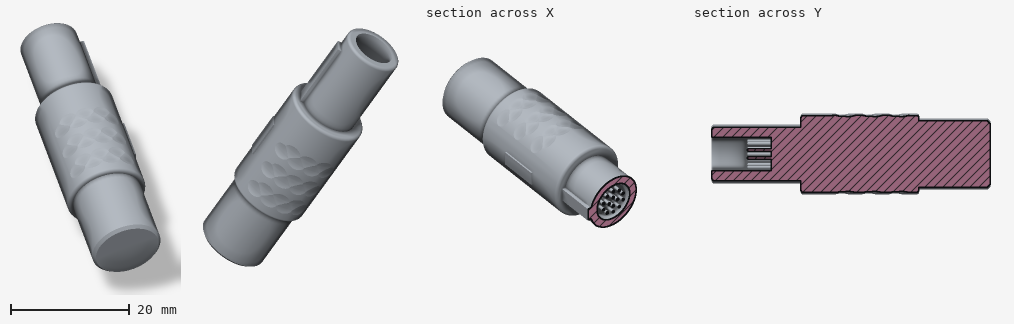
import cadquery as cq
plug_length = 15.0
plug_radius = 5.0
sleeve_length = 20.0
sleeve_radius = 6.85
rear_length = 12.0
rear_radius = 6.0
edge_fillet = 0.5
rear_chamfer = 0.5

bore_radius = 3.5
bore_depth = 10.0
pin_radius = 0.28
pin_length = 4.0
pin_root = 0.5
outer_pin_count = 10
outer_pin_circle_radius = 2.2
inner_pin_count = 4
inner_pin_circle_radius = 0.92

key_start = 2.5
key_width = 2.5
key_root = 4.9
key_top = 5.55

label_length = 7.0
label_width = 2.6
label_top = 7.0
label_thickness = 1.0

dish_radius = 4.0
dish_depth = 0.2
dish_width = 6.0
dish_pitch_angle = 26.5
short_column_count = 3
long_column_count = 4
first_column_x = 22.0
column_spacing = 1.0
band_count = 3
band_pitch = 4.5

sleeve_start = plug_length
sleeve_end = sleeve_start + sleeve_length
sleeve_middle = sleeve_start + sleeve_length / 2


def barrel_section(start, length, radius):
    """Round section on the X axis."""
    return cq.Workplane("YZ").workplane(offset=start).circle(radius).extrude(length)


def barrel():
    """Plug, grip sleeve and rear body with rounded edges and a chamfered rear end."""
    plug = barrel_section(0, plug_length, plug_radius).faces("<X").edges().fillet(edge_fillet)
    sleeve = barrel_section(sleeve_start, sleeve_length, sleeve_radius).edges("%CIRCLE").fillet(edge_fillet)
    rear = barrel_section(sleeve_end, rear_length, rear_radius).faces(">X").edges().chamfer(rear_chamfer)
    return plug.union(sleeve).union(rear)


def guide_key():
    """Rectangular key whose flat root meets the round plug just inside the key's corners."""
    return (
        cq.Workplane("XY")
        .box(plug_length - key_start, key_top - key_root, key_width, centered=(False, False, True))
        .translate((key_start, key_root, 0))
    )


def label_plate():
    """Flat plate standing slightly proud of the sleeve."""
    return (
        cq.Workplane("XY")
        .box(label_length, label_thickness, label_width)
        .translate((sleeve_middle, label_top - label_thickness / 2, 0))
    )


def contact_pin(circle_radius):
    """Round-tipped pin rooted in the bore floor, offset from the axis toward +Z."""
    tip_center = bore_depth - pin_length + pin_radius
    shank = (
        cq.Workplane("YZ")
        .workplane(offset=tip_center)
        .center(0, circle_radius)
        .circle(pin_radius)
        .extrude(bore_depth + pin_root - tip_center)
    )
    tip = cq.Workplane("XY").sphere(pin_radius).translate((tip_center, 0, circle_radius))
    return shank.union(tip)


def add_pin_ring(body, count, circle_radius):
    """Add evenly spaced pins on one circle, the first one at +Z."""
    pin = contact_pin(circle_radius)
    for index in range(count):
        body = body.union(pin.rotate((0, 0, 0), (1, 0, 0), index * 360 / count))
    return body


def dish(x, angle):
    """Cutter for one scallop, turned by the angle about X from +Z."""
    axis_height = sleeve_radius - dish_depth + dish_radius
    cutter = (
        cq.Workplane("XZ")
        .center(x, axis_height)
        .circle(dish_radius)
        .extrude(dish_width / 2, both=True)
    )
    return cutter.rotate((0, 0, 0), (1, 0, 0), angle)


def cut_dish_column(body, x, count, side_angle):
    """Cut a column of scallops centred on one side of the sleeve."""
    for index in range(count):
        angle = side_angle + (index - (count - 1) / 2) * dish_pitch_angle
        body = body.cut(dish(x, angle))
    return body


def cut_grip(body):
    """Three bands of staggered scallops on the +Z and -Z sides."""
    for side_angle in (0, 180):
        for band in range(band_count):
            x = first_column_x + band * band_pitch
            body = cut_dish_column(body, x, short_column_count, side_angle)
            body = cut_dish_column(body, x + column_spacing, long_column_count, side_angle)
    return body


bore = barrel_section(0, bore_depth, bore_radius)

result = cut_grip(barrel())
result = result.union(guide_key()).union(label_plate())
result = result.cut(bore)
result = add_pin_ring(result, outer_pin_count, outer_pin_circle_radius)
result = add_pin_ring(result, inner_pin_count, inner_pin_circle_radius)